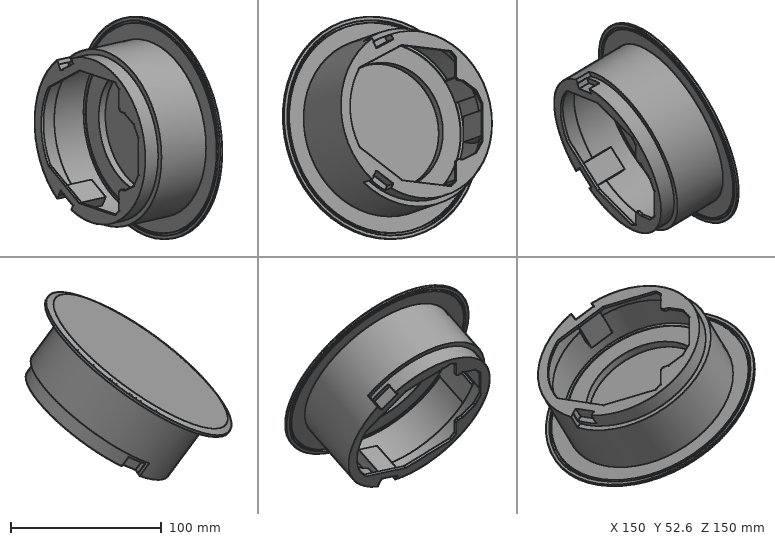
import cadquery as cq
import math


total_depth = 52.6
cap_floor = 1.8
rim_height = 1.8
flange_back = total_depth - cap_floor
flange_front = flange_back - rim_height

cap_radius = 75.0
cap_recess_radius = 72.6
cap_chamfer_width = 4.5
cap_chamfer_depth = 1.8

flange_radius = 71.0
body_radius = 60.0
nose_radius = 56.4
nose_length = 11.0
wall = 2.0
chamber_radius = body_radius - wall
nose_bore_radius = nose_radius - wall
ledge_thickness = 1.5
chamber_front = nose_length + ledge_thickness

ledge_y = 40.4
back_disc_y = 40.8
back_disc_radius = 56.0
back_recess_radius = 42.5
back_recess_floor_y = 46.4

block_angles = (0, 120, -120)
block_face = 49.5
block_half_width = 8.7
block_back_y = 26.2
pocket_angles = (120, -120)
pocket_floor = 52.2
pocket_half_width = 7.5
step_end_offset = 7.2
pocket_depth = 8.1

land_angles = (30, -30)
land_span = 16.4

opening_radius = 53.0
opening_half_height = 45.9
opening_slope = 30.0
slope_start_x = -12.8
slope_fillet = 3.8
shoulder_x = 28.6
shoulder_chamfer = 3.9
bay_x = 49.0
bay_half_height = 26.8
bay_mouth_chamfer = 1.8
bay_corner = ((34.0, bay_half_height), (44.2, 21.2), (bay_x, 12.9))


def disc(radius, y_start, y_end):
    """Cylinder about the Y axis between two depths."""
    return cq.Workplane("XZ", origin=(0, y_start, 0)).circle(radius).extrude(y_start - y_end)


def prism(points, y_start, y_end):
    """Closed (x, z) outline extruded between two depths."""
    return cq.Workplane("XZ", origin=(0, y_start, 0)).polyline(points).close().extrude(y_start - y_end)


def turned(shape, angle):
    """Shape turned about the Y axis, from +X towards +Z."""
    return shape.rotate((0, 0, 0), (0, 1, 0), -angle)


def radial_box(inner, outer, half_width, y_start, y_end, angle):
    """Box reaching from one distance off the axis to another, in the given direction."""
    outline = [(inner, -half_width), (outer, -half_width), (outer, half_width), (inner, half_width)]
    return turned(prism(outline, y_start, y_end), angle)


def make_cap():
    """Round dish that takes the housing flange."""
    dish = disc(cap_radius, flange_front, total_depth)
    dish = dish.faces(">Y").chamfer(cap_chamfer_depth, cap_chamfer_width)
    return dish.cut(disc(cap_recess_radius, flange_front, flange_back))


def make_nose_step():
    """Ring that is cut away around the front end, except in a sector on the -X side."""
    ring = disc(body_radius, 0, nose_length).cut(disc(nose_radius, 0, nose_length))
    side_angle = math.radians(pocket_angles[0])
    apex_x = -step_end_offset / math.sin(side_angle)
    reach = 2 * body_radius
    side_x = apex_x + reach * math.cos(side_angle)
    side_z = reach * math.sin(side_angle)
    sector = prism([(apex_x, 0), (side_x, side_z), (side_x, -side_z)], 0, nose_length)
    return ring.cut(sector)


def make_opening():
    """Opening through the front wall, symmetric about z = 0."""
    slope_end_x = -opening_radius
    slope_drop = (slope_start_x - slope_end_x) * math.tan(math.radians(opening_slope))
    upper = [
        (slope_end_x, opening_half_height - slope_drop),
        (slope_start_x, opening_half_height),
        (shoulder_x - shoulder_chamfer, opening_half_height),
        (shoulder_x, opening_half_height - shoulder_chamfer),
        (shoulder_x, bay_half_height + bay_mouth_chamfer),
        (shoulder_x + bay_mouth_chamfer, bay_half_height),
        *bay_corner,
    ]
    lower = [(x, -z) for x, z in reversed(upper)]
    opening = prism(upper + lower, 0, wall).intersect(disc(opening_radius, 0, wall))
    mid_slope_x = (slope_start_x + slope_end_x) / 2
    arc_ends = cq.selectors.BoxSelector(
        (-opening_radius, 0, -opening_half_height),
        (mid_slope_x, wall, opening_half_height),
    )
    return opening.edges("|Y").edges(arc_ends).fillet(slope_fillet)


def make_lands():
    """Short stretches of the chamber wall with a smaller bore."""
    ring = disc(chamber_radius, chamber_front, ledge_y).cut(disc(back_disc_radius, chamber_front, ledge_y))
    reach = 2 * body_radius
    half_width = reach * math.tan(math.radians(land_span / 2))
    wedge = prism([(0, 0), (reach, -half_width), (reach, half_width)], chamber_front, ledge_y)
    return [ring.intersect(turned(wedge, angle)) for angle in land_angles]


def make_interior():
    """Hollow of the housing behind its front wall, around the blocks and lands."""
    hollow = disc(nose_bore_radius, wall, chamber_front)
    hollow = hollow.union(disc(chamber_radius, chamber_front, ledge_y))
    for angle in block_angles:
        hollow = hollow.cut(
            radial_box(block_face, body_radius, block_half_width, wall, block_back_y, angle)
        )
    for land in make_lands():
        hollow = hollow.cut(land)
    hollow = hollow.union(disc(back_disc_radius, ledge_y, back_disc_y))
    return hollow.union(disc(back_recess_radius, back_disc_y, back_recess_floor_y))


def make_housing():
    """Flanged cup with a stepped nose, an open front and a closed back."""
    shell = disc(body_radius, 0, flange_back)
    shell = shell.union(disc(flange_radius, flange_front, flange_back))
    shell = shell.cut(make_nose_step())
    shell = shell.cut(make_interior())
    shell = shell.cut(make_opening())
    for angle in pocket_angles:
        shell = shell.cut(
            radial_box(pocket_floor, nose_radius, pocket_half_width, 0, pocket_depth, angle)
        )
    return shell


cap = make_cap()
housing = make_housing()

result = cq.Compound.makeCompound([cap.val(), housing.val()])